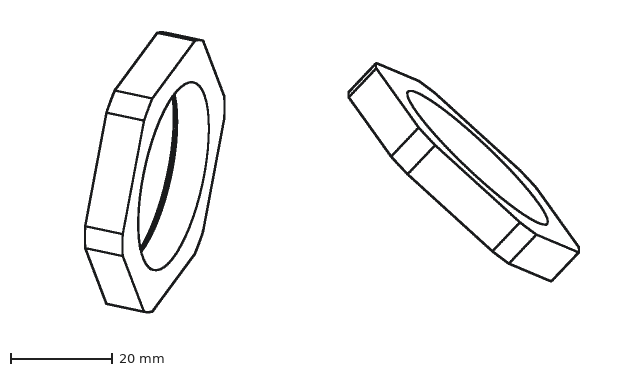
import cadquery as cq
import math

thickness = 8.0
across_flats = 49.95
corner_diameter = 54.95
bore_diameter = 38.0

recess_diameter = 40.8
recess_depth = 0.5
cone_slope = 30.0

across_corners = across_flats / math.cos(math.radians(30))
bore_radius = bore_diameter / 2
recess_radius = recess_diameter / 2
cone_depth = (recess_radius - bore_radius) * math.tan(math.radians(cone_slope))


def make_body():
    """Hexagon with two corners on the Y axis, its corners rounded by a cylinder."""
    hexagon = cq.Workplane("YZ").polygon(6, across_corners).extrude(thickness)
    corner_cylinder = cq.Workplane("YZ").circle(corner_diameter / 2).extrude(thickness)
    return hexagon.intersect(corner_cylinder)


def make_bore():
    """Through bore with its stepped conical entry, revolved about the X axis."""
    profile = (
        cq.Workplane("XY")
        .lineTo(0, recess_radius)
        .lineTo(recess_depth, recess_radius)
        .lineTo(recess_depth + cone_depth, bore_radius)
        .lineTo(thickness, bore_radius)
        .lineTo(thickness, 0)
        .close()
    )
    return profile.revolve(360, (0, 0, 0), (1, 0, 0))


result = make_body().cut(make_bore())